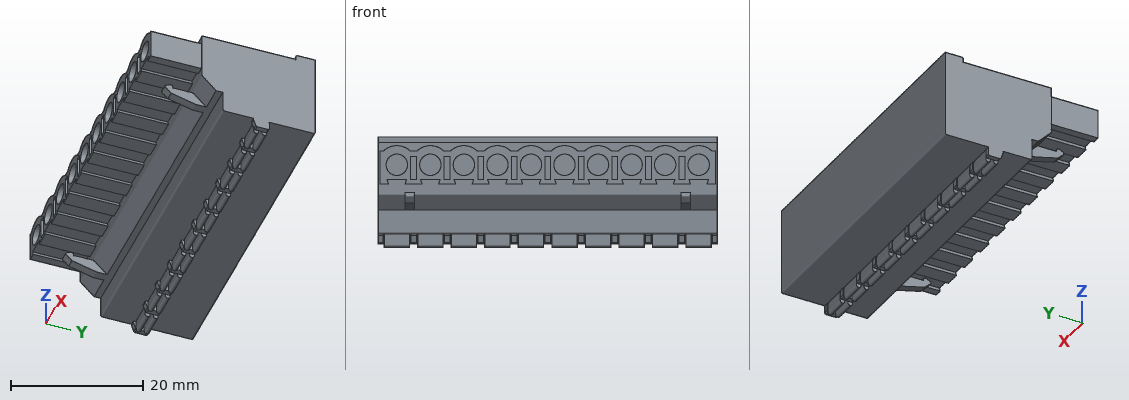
import cadquery as cq
import math

pole_count = 10
pole_pitch = 5.08
pole_places = [(i - (pole_count - 1) / 2) * pole_pitch for i in range(pole_count)]
gap_places = [(i - pole_count / 2) * pole_pitch for i in range(1, pole_count)]

length = 51.4
housing_depth = 18.35
shoulder_height = 13.9
top_height = 14.7
rear_rail_depth = 3.15
foot_setback = 3.35
foot_height = 3.65
underside_run = 2.25
underside_top = 5.9
edge_radius = 0.3
underside_edge_radius = 0.2

plug_length = 50.8
plug_reach = 8.25
plug_bottom = 7.6
plug_flat_top = 12.55
pole_center_height = 10.5
pole_diameter = 5.8
pole_radius = pole_diameter / 2
hole_diameter = 3.25
hole_depth = 1.05
slot_width = 0.85
slot_bottom = 8.3
slot_top = 11.7
notch_top_width = 3.0
notch_bottom_width = 2.5

latch_width = 1.4
latch_inset = 4.1
latch_top = 5.8
latch_taper_start = 0.55
nose_start = -3.15
nose_rise_run = 0.15
nose_flat = 0.3
nose_top = 6.3
nose_tip_upper = (-4.3, 5.95)
nose_tip = (-4.45, 5.75)
nose_tip_lower = (-4.35, 5.55)
nose_heel = (-3.45, 4.7)

contact_width = 3.85
contact_drop = 2.0
contact_root = 0.3
leg_thickness = 0.75
leg_places = (9.1, 10.45)
rib_width = 0.9
rib_drop = 1.5
rib_front = 8.35
rib_back = 10.9
rib_slope_run = 0.35
rib_root_height = 0.25
rib_tip_chamfer = 0.2
end_rib_width = 0.8


def extrude_along_x(outline, x_start, width):
    """Extrude a closed (Y, Z) outline towards +X from x_start."""
    return cq.Workplane("YZ", origin=(x_start, 0, 0)).polyline(outline).close().extrude(width)


def make_housing():
    """Stepped body with a rail along the top rear edge and a foot set back from the front."""
    rail_front = housing_depth - rear_rail_depth
    outline = [
        (foot_setback, 0),
        (housing_depth, 0),
        (housing_depth, top_height),
        (rail_front, top_height),
        (rail_front, shoulder_height),
        (0, shoulder_height),
        (0, underside_top),
        (underside_run, foot_height),
        (foot_setback, foot_height),
    ]
    housing = extrude_along_x(outline, -length / 2, length)
    housing = housing.faces("<Z").edges("|X").fillet(edge_radius)
    front_lower_edge = cq.selectors.NearestToPointSelector((0, 0, underside_top))
    housing = housing.edges(front_lower_edge).fillet(underside_edge_radius)
    return housing.faces(">Z").edges("|X and <Y").fillet(edge_radius)


def make_plug():
    """Row of rounded pole tops, with a dovetail notch under and a blind hole in each pole."""
    crest = pole_center_height + pole_radius
    crest_half_width = math.sqrt(pole_radius**2 - (plug_flat_top - pole_center_height) ** 2)
    front = cq.Workplane("XZ", origin=(0, -plug_reach, 0))

    outline = front.moveTo(-plug_length / 2, plug_bottom).lineTo(-plug_length / 2, plug_flat_top)
    for x in pole_places:
        outline = outline.lineTo(x - crest_half_width, plug_flat_top)
        outline = outline.threePointArc((x, crest), (x + crest_half_width, plug_flat_top))
    outline = outline.lineTo(plug_length / 2, plug_flat_top).lineTo(plug_length / 2, plug_bottom)
    for x in reversed(pole_places):
        outline = outline.lineTo(x + notch_bottom_width / 2, plug_bottom)
        outline = outline.lineTo(x + notch_top_width / 2, slot_bottom)
        outline = outline.lineTo(x - notch_top_width / 2, slot_bottom)
        outline = outline.lineTo(x - notch_bottom_width / 2, plug_bottom)
    plug = outline.close().extrude(-plug_reach)

    hole_centers = [(x, pole_center_height) for x in pole_places]
    plug = plug.cut(front.pushPoints(hole_centers).circle(hole_diameter / 2).extrude(-hole_depth))

    slot_height = slot_top - slot_bottom
    slot_centers = [(x, slot_bottom + slot_height / 2) for x in gap_places]
    return plug.cut(front.pushPoints(slot_centers).rect(slot_width, slot_height).extrude(-plug_reach))


def make_latch(x_start):
    """Arm rooted in the slanted underside, tapering forward to an upturned, rounded nose."""
    return (
        cq.Workplane("YZ", origin=(x_start, 0, 0))
        .moveTo(underside_run, foot_height)
        .lineTo(underside_run, latch_top)
        .lineTo(nose_start, latch_top)
        .lineTo(nose_start - nose_rise_run, nose_top)
        .lineTo(nose_start - nose_rise_run - nose_flat, nose_top)
        .lineTo(*nose_tip_upper)
        .threePointArc(nose_tip, nose_tip_lower)
        .lineTo(*nose_heel)
        .lineTo(latch_taper_start, foot_height)
        .close()
        .extrude(latch_width)
    )


def make_contact_leg(x, y):
    """Upright plate with a round tip, rooted just inside the housing."""
    tip_radius = leg_thickness / 2
    tip_center = tip_radius - contact_drop
    return (
        cq.Workplane("YZ", origin=(x - contact_width / 2, 0, 0))
        .moveTo(y - tip_radius, contact_root)
        .lineTo(y - tip_radius, tip_center)
        .threePointArc((y, -contact_drop), (y + tip_radius, tip_center))
        .lineTo(y + tip_radius, contact_root)
        .close()
        .extrude(contact_width)
    )


def make_rib(x_start, width):
    """Rib with a sloping front and chamfered tip."""
    chamfer_top = rib_tip_chamfer - rib_drop
    outline = [
        (rib_front, 0),
        (rib_front, -rib_root_height),
        (rib_front + rib_slope_run, chamfer_top),
        (rib_front + rib_slope_run + rib_tip_chamfer, -rib_drop),
        (rib_back - rib_tip_chamfer, -rib_drop),
        (rib_back, chamfer_top),
        (rib_back, 0),
    ]
    return extrude_along_x(outline, x_start, width)


result = make_housing().union(make_plug())
for x in (latch_inset - length / 2, length / 2 - latch_inset - latch_width):
    result = result.union(make_latch(x))
for x in gap_places:
    result = result.union(make_rib(x - rib_width / 2, rib_width))
for x in (-length / 2, length / 2 - end_rib_width):
    result = result.union(make_rib(x, end_rib_width))
for x in pole_places:
    for y in leg_places:
        result = result.union(make_contact_leg(x, y))